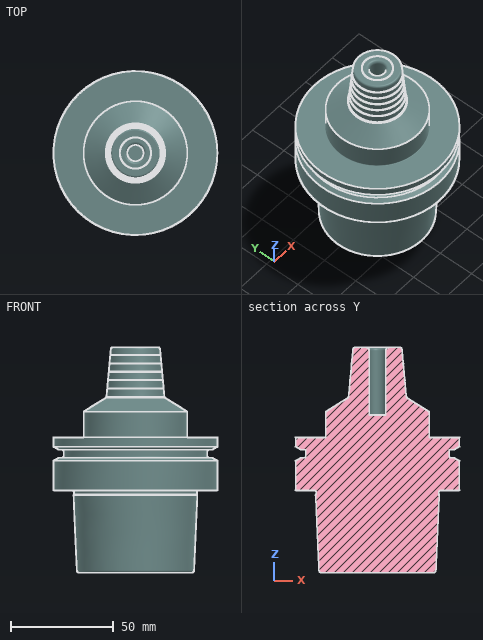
import cadquery as cq
import math

TOTAL_HEIGHT = 109.9
EDGE_BREAK = 0.3

SHANK_TIP_RADIUS = 28.6
SHANK_TOP_RADIUS = 30.2
SHANK_TOP_Z = 37.7
SHANK_TIP_ROUND = 1.3
UNDERCUT_DEPTH = 0.2
UNDERCUT_BEVEL = 0.7
UNDERCUT_ROUND = 0.7

FLANGE_RADIUS = 40.0
FLANGE_BOTTOM_Z = 40.0
FLANGE_TOP_Z = 65.9
GROOVE_FLOOR_RADIUS = 35.1
GROOVE_LIP_RADIUS = 37.4
GROOVE_BOTTOM_Z = 56.2
GROOVE_TOP_Z = 59.9
GROOVE_FLOOR_ROUND = 0.5
GROOVE_FLANK_ANGLE = 30.0

COLLAR_RADIUS = 25.3
SHOULDER_BOTTOM_Z = 78.8

NOSE_BASE_RADIUS = 14.2
NOSE_BASE_Z = 85.3
NOSE_TOP_RADIUS = 12.0
NOSE_BASE_BEVEL = 0.5
NOSE_TOP_ROUND = 1.1
MARK_COUNT = 5
MARK_PITCH = 4.1
FIRST_MARK_Z = 89.7
MARK_WIDTH = 0.3
MARK_DEPTH = 0.1

BORE_RADIUS = 4.0
BORE_DEPTH = 33.0
BORE_MOUTH_ROUND = 1.6
FACE_RING_RADIUS = 7.7
FACE_RING_WIDTH = 0.16
FACE_RING_DEPTH = 0.1


def groove_ring(outer_radius, inner_radius, bottom_z, height):
    """Ring of rectangular section, used to cut a groove."""
    ring = cq.Workplane("XY").workplane(offset=bottom_z).circle(outer_radius).circle(inner_radius)
    return ring.extrude(height)


def shank():
    height = FLANGE_BOTTOM_Z
    undercut_radius = SHANK_TOP_RADIUS - UNDERCUT_DEPTH
    profile = (
        cq.Workplane("XZ")
        .lineTo(SHANK_TIP_RADIUS, 0)
        .lineTo(SHANK_TOP_RADIUS, SHANK_TOP_Z)
        .lineTo(undercut_radius, SHANK_TOP_Z + UNDERCUT_BEVEL)
        .lineTo(undercut_radius, height - UNDERCUT_ROUND)
        .radiusArc((undercut_radius + UNDERCUT_ROUND, height), UNDERCUT_ROUND)
        .lineTo(0, height)
        .close()
    )
    body = profile.revolve(360, (0, 0, 0), (0, 1, 0))
    return body.faces("<Z").edges().fillet(SHANK_TIP_ROUND)


def flange():
    flank_rise = (FLANGE_RADIUS - GROOVE_LIP_RADIUS) * math.tan(math.radians(GROOVE_FLANK_ANGLE))
    round_start = GROOVE_FLOOR_RADIUS + GROOVE_FLOOR_ROUND
    profile = (
        cq.Workplane("XZ")
        .moveTo(0, FLANGE_BOTTOM_Z)
        .lineTo(FLANGE_RADIUS - EDGE_BREAK, FLANGE_BOTTOM_Z)
        .lineTo(FLANGE_RADIUS, FLANGE_BOTTOM_Z + EDGE_BREAK)
        .lineTo(FLANGE_RADIUS, GROOVE_BOTTOM_Z - flank_rise)
        .lineTo(GROOVE_LIP_RADIUS, GROOVE_BOTTOM_Z)
        .lineTo(round_start, GROOVE_BOTTOM_Z)
        .radiusArc((GROOVE_FLOOR_RADIUS, GROOVE_BOTTOM_Z + GROOVE_FLOOR_ROUND), GROOVE_FLOOR_ROUND)
        .lineTo(GROOVE_FLOOR_RADIUS, GROOVE_TOP_Z - GROOVE_FLOOR_ROUND)
        .radiusArc((round_start, GROOVE_TOP_Z), GROOVE_FLOOR_ROUND)
        .lineTo(GROOVE_LIP_RADIUS, GROOVE_TOP_Z)
        .lineTo(FLANGE_RADIUS, GROOVE_TOP_Z + flank_rise)
        .lineTo(FLANGE_RADIUS, FLANGE_TOP_Z)
        .lineTo(0, FLANGE_TOP_Z)
        .close()
    )
    return profile.revolve(360, (0, 0, 0), (0, 1, 0))


def collar_and_nose():
    profile = (
        cq.Workplane("XZ")
        .moveTo(0, FLANGE_TOP_Z)
        .lineTo(COLLAR_RADIUS + EDGE_BREAK, FLANGE_TOP_Z)
        .radiusArc((COLLAR_RADIUS, FLANGE_TOP_Z + EDGE_BREAK), EDGE_BREAK)
        .lineTo(COLLAR_RADIUS, SHOULDER_BOTTOM_Z - EDGE_BREAK)
        .lineTo(COLLAR_RADIUS - EDGE_BREAK, SHOULDER_BOTTOM_Z)
        .lineTo(NOSE_BASE_RADIUS + EDGE_BREAK, NOSE_BASE_Z)
        .lineTo(NOSE_BASE_RADIUS, NOSE_BASE_Z + NOSE_BASE_BEVEL)
        .lineTo(NOSE_TOP_RADIUS, TOTAL_HEIGHT)
        .lineTo(0, TOTAL_HEIGHT)
        .close()
    )
    body = profile.revolve(360, (0, 0, 0), (0, 1, 0))
    return body.faces(">Z").edges().fillet(NOSE_TOP_ROUND)


def nose_radius(z):
    """Radius of the nose taper at height z."""
    base_z = NOSE_BASE_Z + NOSE_BASE_BEVEL
    fraction = (z - base_z) / (TOTAL_HEIGHT - base_z)
    return NOSE_BASE_RADIUS + fraction * (NOSE_TOP_RADIUS - NOSE_BASE_RADIUS)


def cut_marks(body):
    for index in range(MARK_COUNT):
        z = FIRST_MARK_Z + index * MARK_PITCH
        floor_radius = nose_radius(z + MARK_WIDTH) - MARK_DEPTH
        body = body.cut(groove_ring(COLLAR_RADIUS, floor_radius, z, MARK_WIDTH))
    return body


def cut_bore(body):
    profile = (
        cq.Workplane("XZ")
        .moveTo(0, TOTAL_HEIGHT)
        .lineTo(BORE_RADIUS + BORE_MOUTH_ROUND, TOTAL_HEIGHT)
        .radiusArc((BORE_RADIUS, TOTAL_HEIGHT - BORE_MOUTH_ROUND), -BORE_MOUTH_ROUND)
        .lineTo(BORE_RADIUS, TOTAL_HEIGHT - BORE_DEPTH)
        .lineTo(0, TOTAL_HEIGHT - BORE_DEPTH)
        .close()
    )
    return body.cut(profile.revolve(360, (0, 0, 0), (0, 1, 0)))


def cut_face_ring(body):
    inner_radius = FACE_RING_RADIUS - FACE_RING_WIDTH
    floor_z = TOTAL_HEIGHT - FACE_RING_DEPTH
    return body.cut(groove_ring(FACE_RING_RADIUS, inner_radius, floor_z, FACE_RING_DEPTH))


holder = shank().union(flange()).union(collar_and_nose())
result = cut_face_ring(cut_bore(cut_marks(holder)))